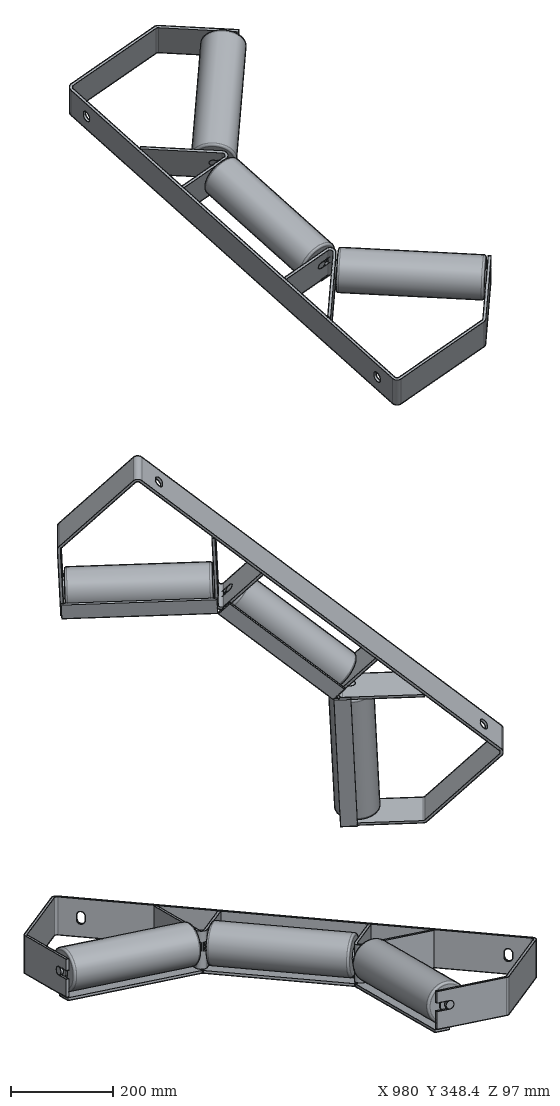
import cadquery as cq
import math

frame_length = 980.0
plate_height = 79.0
plate_thickness = 6.0
bend_radius = 9.0
side_corner_height = 232.0
tip_to_shaft = 29.0
corner_to_shaft = 133.0
wing_angle = math.radians(45)

mount_slot_width = 18.0
mount_slot_height = 26.0
mount_slot_x = 432.0

roller_diameter = 89.0
roller_length = 290.0
roller_edge_radius = 5.0
shaft_diameter = 18.0
collar_diameter = 37.0
roller_gap = 4.0
shaft_length = roller_length + 2 * (roller_gap + plate_thickness)
middle_axis_y = 99.0
roller_rise = 12.0
axis_z = plate_height + roller_rise - roller_diameter / 2
slot_depth = 49.0

strip_length = 306.0
strip_width = 33.0
strip_thickness = 6.0

half_plate = plate_thickness / 2
half_length = frame_length / 2
wing_x = math.cos(wing_angle)
wing_y = math.sin(wing_angle)


def bent_plate(points):
    """Upright plate that follows a mid-thickness line with rounded corners."""
    corners = [cq.Vector(x, y, 0) for x, y in points]
    path = cq.Wire.makePolygon(corners).fillet(bend_radius)
    start = cq.Plane(origin=corners[0], xDir=(0, 0, 1), normal=corners[1] - corners[0])
    section = cq.Workplane(start).center(plate_height / 2, 0).rect(plate_height, plate_thickness)
    return section.sweep(cq.Workplane(path))


def roller_plane(origin, toward_load):
    """Plane whose normal runs along the roller axis and whose local X points to the load side."""
    load = cq.Vector(*toward_load)
    return cq.Plane(origin=origin, xDir=load, normal=load.cross(cq.Vector(0, 0, 1)))


axis_start_x = -half_length + corner_to_shaft * wing_x
axis_start_y = side_corner_height + corner_to_shaft * wing_y
wing_center_x = axis_start_x + shaft_length / 2 * wing_y
wing_center_y = axis_start_y - shaft_length / 2 * wing_x

roller_planes = [
    roller_plane((-wing_center_x, wing_center_y, axis_z), (-wing_x, wing_y, 0)),
    roller_plane((0, middle_axis_y, axis_z), (0, 1, 0)),
    roller_plane((wing_center_x, wing_center_y, axis_z), (wing_x, wing_y, 0)),
]


def cut_shaft_slots(plate):
    """Cut the shaft slots: round at each shaft axis and open toward the load side."""
    for plane in roller_planes:
        seat = cq.Workplane(plane).cylinder(shaft_length, shaft_diameter / 2)
        throat = (
            cq.Workplane(plane)
            .center(slot_depth / 2, 0)
            .box(slot_depth, shaft_diameter, shaft_length)
        )
        plate = plate.cut(seat).cut(throat)
    return plate


def make_frame():
    """Long front wall, two side walls and two wings that lean inward."""
    side_x = half_length - half_plate
    bend_y = side_corner_height - half_plate * math.tan(wing_angle / 2)
    wing_length = corner_to_shaft + tip_to_shaft
    tip_x = half_length - wing_length * wing_x - half_plate * wing_y
    tip_y = side_corner_height + wing_length * wing_y - half_plate * wing_x
    right_half = [(side_x, half_plate), (side_x, bend_y), (tip_x, tip_y)]
    left_half = [(-x, y) for x, y in reversed(right_half)]
    frame = bent_plate(left_half + right_half)
    mount_slots = (
        cq.Workplane("XZ")
        .pushPoints([(-mount_slot_x, plate_height / 2), (mount_slot_x, plate_height / 2)])
        .slot2D(mount_slot_height, mount_slot_width, 90)
        .extrude(-plate_thickness)
    )
    return cut_shaft_slots(frame.cut(mount_slots))


def make_bracket():
    """Left inner bracket: an upright leg folded back into a leg parallel to the wing."""
    leg_x = -(shaft_length - plate_thickness) / 2
    seat_x = axis_start_x + (shaft_length - half_plate) * wing_y
    seat_y = axis_start_y - (shaft_length - half_plate) * wing_x
    slope = wing_y / wing_x
    fold_y = seat_y + (leg_x - seat_x) * slope
    foot_y = plate_thickness + half_plate * wing_x
    foot_x = seat_x + (foot_y - seat_y) / slope
    legs = [(leg_x, plate_thickness), (leg_x, fold_y), (foot_x, foot_y)]
    return cut_shaft_slots(bent_plate(legs))


def make_roller(plane):
    """Roller with rounded end edges, a collar at each end and a shaft that reaches into both plates."""
    shell = (
        cq.Workplane(plane)
        .cylinder(roller_length, roller_diameter / 2)
        .edges("%CIRCLE")
        .fillet(roller_edge_radius)
    )
    collar_length = roller_length + 2 * roller_gap
    collars = cq.Workplane(plane).cylinder(collar_length, collar_diameter / 2)
    shaft = cq.Workplane(plane).cylinder(shaft_length, shaft_diameter / 2)
    return shell.union(collars).union(shaft)


def make_strip(plane):
    """Flat strip under the plates, reaching from the roller axis to the load side."""
    drop = axis_z + strip_thickness / 2
    return (
        cq.Workplane(plane)
        .center(strip_width / 2, -drop)
        .box(strip_width, strip_thickness, strip_length)
    )


frame = make_frame()
left_bracket = make_bracket()
right_bracket = left_bracket.mirror("YZ")
rollers = [make_roller(plane) for plane in roller_planes]
strips = [make_strip(plane) for plane in roller_planes]

bodies = [frame, left_bracket, right_bracket, *rollers, *strips]
result = cq.Compound.makeCompound([body.solids().val() for body in bodies])